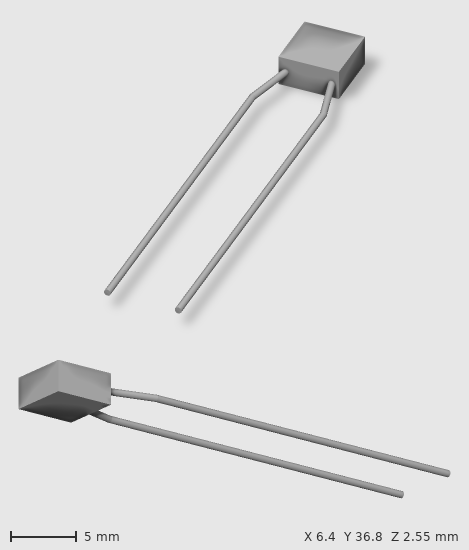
import cadquery as cq

total_length = 36.83
overall_width = 6.4
body_width = 5.0
body_depth = 5.0
body_height = 2.55

lead_diameter = 0.55
lead_exit_spacing = 3.83
splay_length = 3.98

front_y = -body_depth / 2
bend_y = front_y - splay_length
tip_y = body_depth / 2 - total_length
exit_x = lead_exit_spacing / 2
lead_x = (overall_width - lead_diameter) / 2


def make_body():
    """Plain rectangular capacitor body."""
    return cq.Workplane("XY").box(body_width, body_depth, body_height)


def make_lead(side):
    """Round wire that splays outward from the body, then runs straight along -Y."""
    slope = (lead_x - exit_x) / splay_length
    inner_x = exit_x - slope * lead_diameter
    inner_y = front_y + lead_diameter
    path = (
        cq.Workplane("XY")
        .moveTo(side * lead_x, tip_y)
        .lineTo(side * lead_x, bend_y)
        .lineTo(side * inner_x, inner_y)
    )
    wire = (
        cq.Workplane("XZ", origin=(side * lead_x, tip_y, 0))
        .circle(lead_diameter / 2)
        .sweep(path, transition="right")
    )
    return wire.cut(make_body())


body = make_body()
leads = [make_lead(side) for side in (-1, 1)]

result = cq.Compound.makeCompound([body.val(), *[lead.solids().val() for lead in leads]])